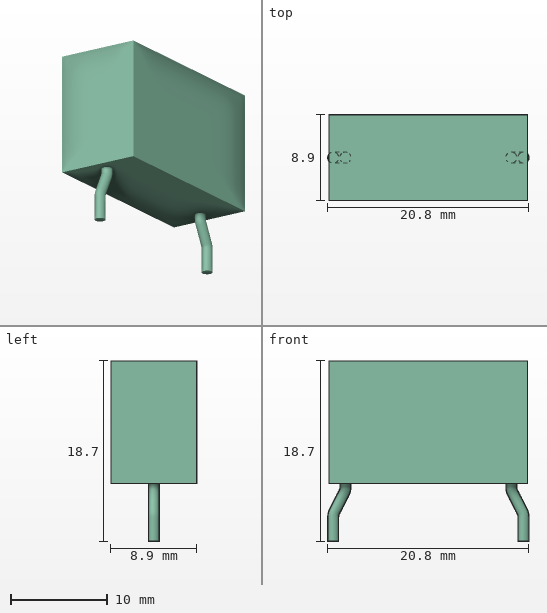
import cadquery as cq
import math

HOUSING_LENGTH = 20.55
HOUSING_WIDTH = 8.9
HOUSING_HEIGHT = 12.7

OVERALL_LENGTH = 20.83
OVERALL_HEIGHT = 18.66
PIN_DIAMETER = 1.15
BEND_RADIUS = PIN_DIAMETER
BEND_ANGLE = math.radians(27.0)
UPPER_STRAIGHT = 0.4
FOOT_STRAIGHT = 2.55

pin_drop = OVERALL_HEIGHT - HOUSING_HEIGHT
foot_x = (OVERALL_LENGTH - PIN_DIAMETER) / 2
bend_height = BEND_RADIUS * math.sin(BEND_ANGLE)
bend_shift = BEND_RADIUS * (1 - math.cos(BEND_ANGLE))
slope_height = pin_drop - UPPER_STRAIGHT - FOOT_STRAIGHT - 2 * bend_height
slope_shift = slope_height * math.tan(BEND_ANGLE)
top_x = foot_x - slope_shift - 2 * bend_shift


def make_housing():
    """Plain rectangular block standing on Z = 0."""
    return cq.Workplane("XY").box(
        HOUSING_LENGTH, HOUSING_WIDTH, HOUSING_HEIGHT, centered=(True, True, False)
    )


def make_pin(side):
    """Bent round pin; side is +1 for the +X end and -1 for the -X end."""
    upper_bend_z = -UPPER_STRAIGHT
    slope_top = (side * (top_x + bend_shift), upper_bend_z - bend_height)
    slope_bottom = (side * (foot_x - bend_shift), slope_top[1] - slope_height)
    foot_top = (side * foot_x, FOOT_STRAIGHT - pin_drop)

    centreline = (
        cq.Workplane("XZ")
        .moveTo(side * top_x, 0)
        .lineTo(side * top_x, upper_bend_z)
        .tangentArcPoint(slope_top, relative=False)
        .lineTo(*slope_bottom)
        .tangentArcPoint(foot_top, relative=False)
        .lineTo(side * foot_x, -pin_drop)
    )
    return (
        cq.Workplane("XY", origin=(side * top_x, 0, 0))
        .circle(PIN_DIAMETER / 2)
        .sweep(centreline)
    )


housing = make_housing()
pins = [make_pin(side) for side in (-1, 1)]

result = cq.Compound.makeCompound([housing.val(), *[pin.val() for pin in pins]])